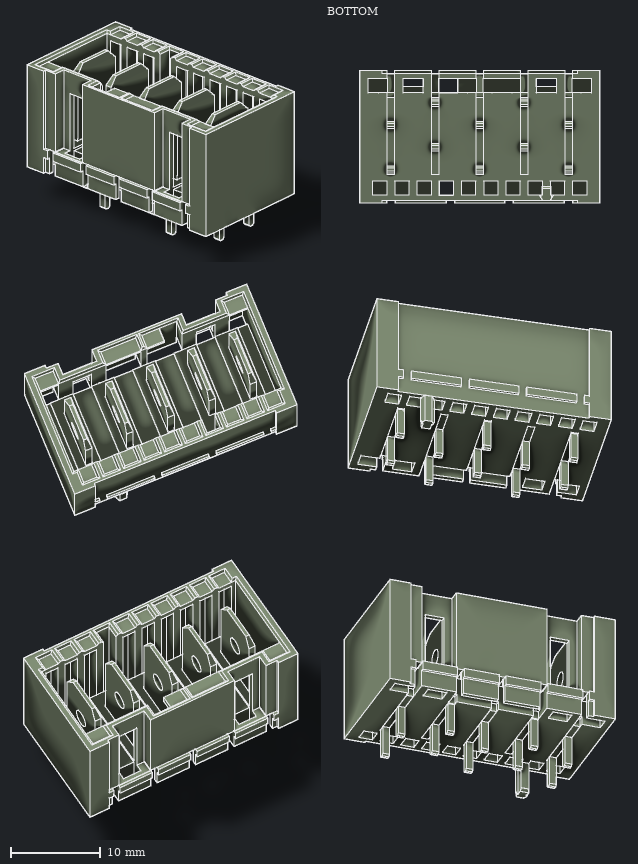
import cadquery as cq


length = 27.0
depth = 14.9
height = 12.75
lead_in = 0.27

pin_count = 5
pin_pitch = 5.0
pocket_pitch = pin_pitch / 2
pin_xs = [(i - (pin_count - 1) / 2) * pin_pitch for i in range(pin_count)]

cavity_half_x = 12.58
cavity_half_y = 4.97
block_top = 3.0
channel_floor = 2.7
channel_width = 2.25

front_pocket_y = -6.53
rear_pocket_y = 6.55
rear_pocket_count = 2 * pin_count
rear_pocket_width = 1.6
open_rear_pocket = 3
roof_thickness = 0.75
roof_top = height - lead_in
centre_rib_width = 0.75

bay_xs = [-1.5 * pin_pitch, 1.5 * pin_pitch]
bay_half_outer = 2.9
bay_half_inner = 2.05
bay_inner_y = -5.67
bay_floor = block_top - 0.05
window_top = 10.07

recess_half_x = 11.0
front_recess_y = -7.1
rear_recess_y = 7.15
bar_bottom = 1.95
bar_top = block_top
rear_gap_width = 0.92
rear_gap_xs = [-9.95, -3.3, 3.3, 9.95]

post_x = bay_xs[1]
column_half_width = 0.49
column_front_y = 5.55
foot_depth = 0.25
foot_height = 0.35
foot_break_depth = foot_depth / 3
foot_break_height = foot_height / 2
wing_half_width = 0.8
wing_half_back = 0.4
wing_front_y = 6.53
wing_back_y = 7.18
wing_taper_width = 0.22
wing_taper_height = 0.43

pin_thickness = 0.8
pin_y = -0.08
blade_half = 3.13
blade_top = 12.28
tip_height = 1.03
tip_side = 0.2
flare_reach = 0.1
flare_height = 0.68
hole_diameter = 2.0
hole_z = 8.02
base_half = 4.32
base_top = 0.97
tail_width = 0.8
tail_bevel = 0.22
tail_length = 3.65
tail_spacing = pin_pitch
tail_stagger = pin_pitch / 4


def block(x0, x1, y0, y1, z0, z1):
    """Box between two corners."""
    return cq.Workplane("XY").box(x1 - x0, y1 - y0, z1 - z0, centered=False).translate((x0, y0, z0))


def mouth(x0, x1, y0, y1):
    """Chamfer cutter whose four sides widen at 45 degrees up to the top face."""
    return (
        cq.Workplane("XY", origin=((x0 + x1) / 2, (y0 + y1) / 2, roof_top))
        .rect(x1 - x0, y1 - y0)
        .workplane(offset=lead_in)
        .rect(x1 - x0 + 2 * lead_in, y1 - y0 + 2 * lead_in)
        .loft()
    )


def roof(x0, x1, y0, y1):
    """Plate that closes the upper end of a pocket."""
    return block(x0, x1, y0, y1, roof_top - roof_thickness, roof_top)


def cut_cavity(body):
    cavity = block(-cavity_half_x, cavity_half_x, -cavity_half_y, cavity_half_y, block_top, height)
    body = body.cut(cavity, clean=False)
    body = body.cut(mouth(-cavity_half_x, cavity_half_x, -cavity_half_y, cavity_half_y - lead_in), clean=False)
    corner_width = cavity_half_x - rear_pocket_x(rear_pocket_count - 1) - rear_pocket_width / 2
    for side in (-1, 1):
        x0, x1 = sorted((side * cavity_half_x, side * (cavity_half_x - corner_width)))
        body = body.cut(mouth(x0, x1, 0, cavity_half_y), clean=False)
    return body


def cut_channels(body):
    """Shallow floor channels between the pins and beside the outer pins."""
    for i in range(pin_count + 1):
        x = (i - pin_count / 2) * pin_pitch
        x0 = max(x - channel_width / 2, -cavity_half_x)
        x1 = min(x + channel_width / 2, cavity_half_x)
        channel = block(x0, x1, -cavity_half_y, cavity_half_y, channel_floor, block_top)
        body = body.cut(channel, clean=False)
    return body


def rear_pocket_x(index):
    return (index - (rear_pocket_count - 1) / 2) * pocket_pitch


def cut_rear_pockets(body):
    for i in range(rear_pocket_count):
        x0 = rear_pocket_x(i) - rear_pocket_width / 2
        x1 = x0 + rear_pocket_width
        body = body.cut(block(x0, x1, cavity_half_y, rear_pocket_y, 0, height), clean=False)
        body = body.cut(mouth(x0, x1, cavity_half_y - lead_in, rear_pocket_y), clean=False)
        if i != open_rear_pocket:
            body = body.union(roof(x0, x1, cavity_half_y, rear_pocket_y), clean=False)
    return body


def cut_front_pockets(body):
    """Four pockets beside the latch bays; the left middle one is roofed on its right part only."""
    left_bay, right_bay = bay_xs
    half_rib = centre_rib_width / 2
    pockets = [
        (-cavity_half_x, left_bay - bay_half_outer, -cavity_half_x),
        (left_bay + bay_half_outer, -half_rib, -pocket_pitch),
        (half_rib, right_bay - bay_half_outer, half_rib),
        (right_bay + bay_half_outer, cavity_half_x, right_bay + bay_half_outer),
    ]
    for x0, x1, roof_x0 in pockets:
        body = body.cut(block(x0, x1, front_pocket_y, -cavity_half_y, 0, height), clean=False)
        body = body.cut(mouth(x0, x1, front_pocket_y, -cavity_half_y + lead_in), clean=False)
        body = body.union(roof(roof_x0, x1, front_pocket_y, -cavity_half_y), clean=False)
    return body


def cut_latch_bays(body):
    for x in bay_xs:
        bay_x0 = x - bay_half_inner
        bay_x1 = x + bay_half_inner
        body = body.cut(block(bay_x0, bay_x1, front_recess_y, bay_inner_y, bay_floor, height), clean=False)
        window_x0 = x - channel_width / 2
        window_x1 = x + channel_width / 2
        window = block(window_x0, window_x1, front_pocket_y, -cavity_half_y, 0, window_top)
        body = body.cut(window, clean=False)
    return body


def cut_outer_faces(body):
    """Recess both long faces above and below a bar, then split the bars with gaps."""
    for y0, y1 in ((-depth / 2, front_recess_y), (rear_recess_y, depth / 2)):
        body = body.cut(block(-recess_half_x, recess_half_x, y0, y1, bar_top, height), clean=False)
        body = body.cut(block(-recess_half_x, recess_half_x, y0, y1, 0, bar_bottom), clean=False)
    for x in pin_xs:
        x0 = x - pin_thickness / 2
        x1 = x + pin_thickness / 2
        body = body.cut(block(x0, x1, -depth / 2, -cavity_half_y, 0, bar_top), clean=False)
        body = body.cut(block(x0, x1, -cavity_half_y, pin_y, 0, base_top), clean=False)
    for x in rear_gap_xs:
        x0 = x - rear_gap_width / 2
        x1 = x + rear_gap_width / 2
        body = body.cut(block(x0, x1, rear_recess_y, depth / 2, 0, bar_top), clean=False)
    return body


def make_post():
    """T-shaped post: a narrow column with a two-facet foot and wings that taper towards the tip."""
    wings = (
        cq.Workplane("XY")
        .moveTo(-wing_half_width, wing_front_y)
        .lineTo(wing_half_width, wing_front_y)
        .lineTo(wing_half_back, wing_back_y)
        .lineTo(-wing_half_back, wing_back_y)
        .close()
        .extrude(-tail_length)
    )
    wing_envelope = (
        cq.Workplane("XZ")
        .moveTo(-wing_half_width, 0)
        .lineTo(-wing_half_width, -tail_length + wing_taper_height)
        .lineTo(-wing_half_width + wing_taper_width, -tail_length)
        .lineTo(wing_half_width - wing_taper_width, -tail_length)
        .lineTo(wing_half_width, -tail_length + wing_taper_height)
        .lineTo(wing_half_width, 0)
        .close()
        .extrude(-depth)
    )
    column = (
        cq.Workplane("YZ")
        .moveTo(column_front_y, 0)
        .lineTo(column_front_y, -tail_length + foot_height)
        .lineTo(column_front_y + foot_break_depth, -tail_length + foot_break_height)
        .lineTo(column_front_y + foot_depth, -tail_length)
        .lineTo(wing_front_y, -tail_length)
        .lineTo(wing_front_y, 0)
        .close()
        .extrude(column_half_width, both=True)
    )
    return wings.intersect(wing_envelope).union(column).translate((post_x, 0, 0))


def make_blade():
    """Upright blade with a bevelled tip, a flared foot and a round hole through its faces."""
    tip_base = blade_top - tip_height
    shank = (
        cq.Workplane("YZ")
        .moveTo(-blade_half, tip_base)
        .lineTo(-blade_half, block_top + flare_height)
        .lineTo(-blade_half - flare_reach, block_top)
        .lineTo(-blade_half - flare_reach, base_top)
        .lineTo(blade_half + flare_reach, base_top)
        .lineTo(blade_half + flare_reach, block_top)
        .lineTo(blade_half, block_top + flare_height)
        .lineTo(blade_half, tip_base)
        .close()
        .extrude(pin_thickness / 2, both=True)
    )
    tip = (
        cq.Workplane("XY", origin=(0, 0, tip_base))
        .rect(pin_thickness, 2 * blade_half)
        .workplane(offset=tip_height)
        .rect(pin_thickness - 2 * tip_side, 2 * (blade_half - tip_height))
        .loft()
    )
    hole = (
        cq.Workplane("YZ")
        .center(0, hole_z)
        .circle(hole_diameter / 2)
        .extrude(pin_thickness, both=True)
    )
    return shank.union(tip).cut(hole)


def make_pin(x, stagger):
    """Blade on a base bar with two solder tails; stagger shifts the tails along Y."""
    half = pin_thickness / 2
    pin = make_blade().union(block(-half, half, -base_half, base_half, 0, base_top))
    for tail_y in (stagger - tail_spacing / 2, stagger + tail_spacing / 2):
        y0 = tail_y - tail_width / 2
        tail = block(-half, half, y0, y0 + tail_width, -tail_length, 0)
        pin = pin.union(tail.faces("<Z").edges("|X").chamfer(tail_bevel))
    return pin.translate((x, pin_y, 0))


def make_housing(pins):
    body = block(-length / 2, length / 2, -depth / 2, depth / 2, 0, height)
    body = cut_cavity(body)
    body = cut_channels(body)
    body = cut_rear_pockets(body)
    body = cut_front_pockets(body)
    body = cut_latch_bays(body)
    body = cut_outer_faces(body)
    body = body.union(make_post()).clean()
    for pin in pins:
        body = body.cut(pin)
    return body


pins = []
for index, x in enumerate(pin_xs):
    direction = 1 if index % 2 == 0 else -1
    pins.append(make_pin(x, direction * tail_stagger))

housing = make_housing(pins)

result = cq.Compound.makeCompound([housing.val(), *[pin.val() for pin in pins]])